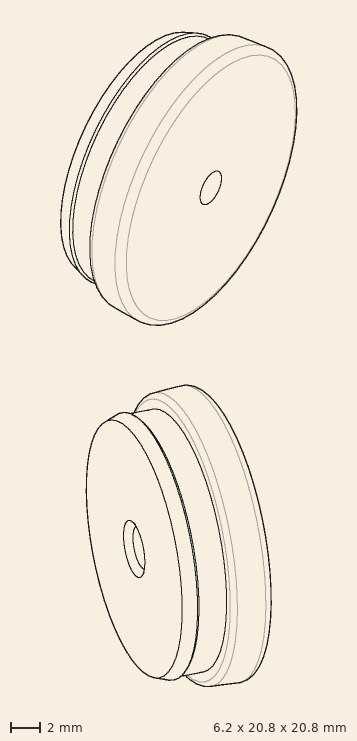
import cadquery as cq
import math

total_length = 6.2
plug_length = 3.2

plug_radius = 9.2
barb_radius = 9.35
lead_in_length = 1.0
lead_in_drop = 0.35
hole_radius = 1.5
countersink_radius = 2.0
countersink_depth = 0.5

flange_radius = 10.4
flange_taper = 3.5
front_rim_fillet = 0.4
back_rim_fillet = 0.55
bore_radius = 1.25
bore_fillet = 0.75


def revolve_about_x(outline):
    """Revolve a closed XZ outline of (x, radius) points about the X axis."""
    profile = cq.Workplane("XZ").polyline(outline).close()
    return profile.revolve(360, (0, 0, 0), (1, 0, 0))


def make_plug():
    barb_back = lead_in_length + barb_radius - plug_radius
    return revolve_about_x([
        (0, countersink_radius),
        (0, barb_radius - lead_in_drop),
        (lead_in_length, barb_radius),
        (barb_back, plug_radius),
        (plug_length, plug_radius),
        (plug_length, hole_radius),
        (countersink_depth, hole_radius),
    ])


def make_flange():
    angle = math.radians(flange_taper)

    rounding_x = total_length - back_rim_fillet
    rounding_radius = flange_radius - back_rim_fillet

    def side_radius(x):
        return rounding_radius + back_rim_fillet / math.cos(angle) + (x - rounding_x) * math.tan(angle)

    front_radius = side_radius(plug_length)
    back_radius = side_radius(total_length)
    disc = revolve_about_x([
        (plug_length, bore_radius),
        (plug_length, front_radius),
        (total_length, back_radius),
        (total_length, bore_radius),
    ])

    inner_edge = cq.selectors.RadiusNthSelector(0)
    outer_edge = cq.selectors.RadiusNthSelector(-1)
    disc = disc.faces("<X").edges(inner_edge).fillet(bore_fillet)
    disc = disc.faces("<X").edges(outer_edge).fillet(front_rim_fillet)
    return disc.faces(">X").edges(outer_edge).fillet(back_rim_fillet)


plug = make_plug()
flange = make_flange()
result = cq.Compound.makeCompound([plug.val(), flange.val()])